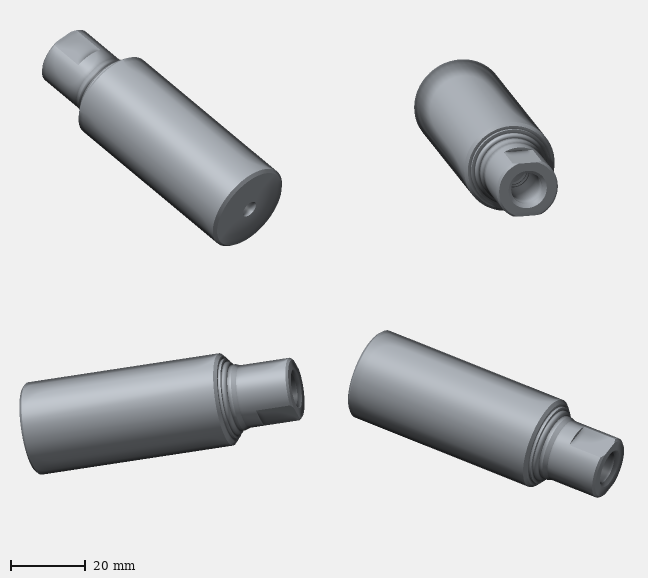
import cadquery as cq
import math

length = 73.85
body_diameter = 25.05

neck_diameter = 17.0
neck_chamfer = 0.6
cone_start = 14.3
ring_start = 15.65
ring_diameter = 17.95
bead_start = 16.7
bead_rounding = 1.0
collar_start = 18.0
collar_diameter = 21.8
body_start = 18.75
body_chamfer = 0.8

flat_length = 10.1
across_flats = 15.0

mouth_diameter = 10.55
bore_diameter = 8.65
step_diameter = 8.3
pilot_diameter = 8.0
through_diameter = 4.8
bore_depth = 14.8
step_depth = 16.25
pilot_depth = 17.7
cone_angle = 118.0


def turned_body():
    """Revolve the stepped outer shape about X."""
    neck_radius = neck_diameter / 2
    ring_radius = ring_diameter / 2
    bead_radius = ring_radius + bead_rounding
    collar_radius = collar_diameter / 2
    body_radius = body_diameter / 2
    bead_end_radius = ring_radius + math.sqrt(
        bead_rounding**2 - (collar_start - bead_start - bead_rounding) ** 2
    )
    profile = (
        cq.Workplane("XY")
        .lineTo(0, neck_radius - neck_chamfer)
        .lineTo(neck_chamfer, neck_radius)
        .lineTo(cone_start, neck_radius)
        .lineTo(ring_start, ring_radius)
        .lineTo(bead_start, ring_radius)
        .threePointArc((bead_start + bead_rounding, bead_radius), (collar_start, bead_end_radius))
        .lineTo(collar_start, collar_radius)
        .lineTo(body_start, collar_radius)
        .lineTo(body_start, body_radius - body_chamfer)
        .lineTo(body_start + body_chamfer, body_radius)
        .lineTo(length - body_chamfer, body_radius)
        .lineTo(length, body_radius - body_chamfer)
        .lineTo(length, 0)
        .close()
    )
    return profile.revolve(360, (0, 0, 0), (1, 0, 0))


def stepped_bore():
    """Chamfered mouth, three shrinking bores, a drill-point cone and a narrow through hole."""
    bore_radius = bore_diameter / 2
    step_radius = step_diameter / 2
    pilot_radius = pilot_diameter / 2
    through_radius = through_diameter / 2
    mouth_radius = mouth_diameter / 2
    mouth_depth = mouth_radius - bore_radius
    cone_depth = (pilot_radius - through_radius) / math.tan(math.radians(cone_angle / 2))
    profile = (
        cq.Workplane("XY")
        .lineTo(0, mouth_radius)
        .lineTo(mouth_depth, bore_radius)
        .lineTo(bore_depth, bore_radius)
        .lineTo(bore_depth, step_radius)
        .lineTo(step_depth, step_radius)
        .lineTo(step_depth, pilot_radius)
        .lineTo(pilot_depth, pilot_radius)
        .lineTo(pilot_depth + cone_depth, through_radius)
        .lineTo(length, through_radius)
        .lineTo(length, 0)
        .close()
    )
    return profile.revolve(360, (0, 0, 0), (1, 0, 0))


def flat_cutter(side):
    """Block that removes the neck beyond one wrench flat; side is +1 (top) or -1 (bottom)."""
    block = cq.Workplane("XY").box(flat_length, neck_diameter, neck_diameter)
    return block.translate((flat_length / 2, 0, side * (across_flats + neck_diameter) / 2))


result = turned_body().cut(stepped_bore())
for side in (1, -1):
    result = result.cut(flat_cutter(side))